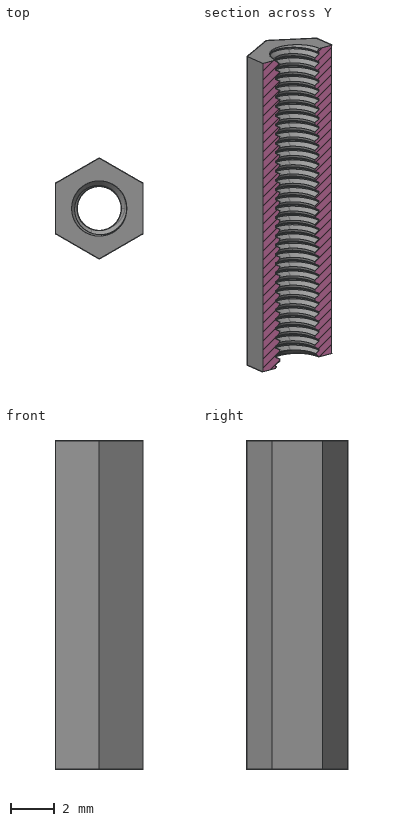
import cadquery as cq
import math

ACROSS_FLATS = 4.0
LENGTH = 15.0
HEX_SIDES = 6

MAJOR_DIAMETER = 2.5
MINOR_DIAMETER = 2.0
PITCH = 0.45
FLANK_ANGLE = 30.0
ROOT_WIDTH = PITCH / 8
START_ANGLE = -109.0
COUNTERSINK_DIAMETER = 2.52
CUTTER_OVERLAP = 0.05

minor_radius = MINOR_DIAMETER / 2
major_radius = MAJOR_DIAMETER / 2
countersink_radius = COUNTERSINK_DIAMETER / 2
countersink_depth = countersink_radius - minor_radius


def hexagonal_bar():
    """Bar standing on Z = 0 with two corners on the Y axis."""
    corner_diameter = ACROSS_FLATS / math.cos(math.pi / HEX_SIDES)
    hexagon = cq.Workplane("XY").polygon(HEX_SIDES, corner_diameter)
    return hexagon.extrude(LENGTH).rotate((0, 0, 0), (0, 0, 1), 180 / HEX_SIDES)


def countersunk_bore():
    """Through bore at the minor diameter with a countersink at each end."""
    section = cq.Workplane("XZ").polyline([
        (0, 0),
        (countersink_radius, 0),
        (minor_radius, countersink_depth),
        (minor_radius, LENGTH - countersink_depth),
        (countersink_radius, LENGTH),
        (0, LENGTH),
    ]).close()
    return section.revolve(360, (0, 0, 0), (0, 1, 0))


def groove_corners():
    """(radius, height) corners of the groove section, centred on height zero."""
    inner_radius = minor_radius - CUTTER_OVERLAP
    flank_rise = (major_radius - inner_radius) * math.tan(math.radians(FLANK_ANGLE))
    root_half = ROOT_WIDTH / 2
    mouth_half = root_half + flank_rise
    return [
        (inner_radius, -mouth_half),
        (major_radius, -root_half),
        (major_radius, root_half),
        (inner_radius, mouth_half),
    ]


def groove_turn(corners, base):
    """The four helical faces of one full turn of the groove, starting at height base."""
    helices = []
    for radius, height in corners:
        helix = cq.Wire.makeHelix(PITCH, PITCH, radius)
        helices.append(helix.translate(cq.Vector(0, 0, base + height)))
    faces = []
    for lower, upper in zip(helices, helices[1:] + helices[:1]):
        faces += cq.Face.makeRuledSurface(lower, upper).Faces()
    return faces


def groove_end(corners, base):
    """Flat face that closes the groove where a turn starts or ends."""
    points = [cq.Vector(radius, 0, base + height) for radius, height in corners]
    return cq.Face.makeFromWires(cq.Wire.makePolygon(points, close=True))


def thread_cutter():
    """Helical groove built one turn at a time, running out beyond both ends of the bar."""
    corners = groove_corners()
    turns = math.ceil(LENGTH / PITCH) + 2
    bottom = -PITCH
    faces = [groove_end(corners, bottom), groove_end(corners, bottom + turns * PITCH)]
    for turn in range(turns):
        faces += groove_turn(corners, bottom + turn * PITCH)
    groove = cq.Solid.makeSolid(cq.Shell.makeShell(faces))
    return cq.Workplane(obj=groove).rotate((0, 0, 0), (0, 0, 1), START_ANGLE)


result = hexagonal_bar().cut(countersunk_bore()).cut(thread_cutter())